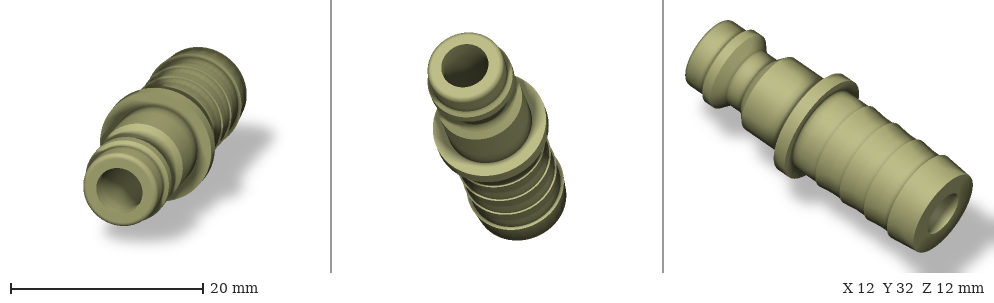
import cadquery as cq

length = 32.0
bore_diameter = 5.0

nose_radius = 4.03
nose_fillet = 0.5
nose_end = 2.6
plug_radius = 4.5
collar_chamfer_length = 0.4
collar_end = 4.05
groove_radius = 3.33
groove_slope = plug_radius - groove_radius
groove_floor_length = 1.92

flange_radius = 12.0 / 2
flange_start = 14.0
flange_thickness = 1.5

tail_radius = 4.8
barb_pitch = 3.3
barb_length = barb_pitch / 2
barb_radius = 5.0
barb_count = 3
end_barb_length = barb_pitch
end_barb_radius = 5.15


def cylinder(radius, start, end):
    """Solid cylinder along Y between two stations."""
    return cq.Workplane("XZ", origin=(0, start, 0)).circle(radius).extrude(start - end)


def barb(large_radius, start, barb_size):
    """Cone that is largest at its start and tapers to the tail towards the hose end."""
    return (
        cq.Workplane("XY")
        .moveTo(0, start)
        .lineTo(large_radius, start)
        .lineTo(tail_radius, start + barb_size)
        .lineTo(0, start + barb_size)
        .close()
        .revolve(360, (0, 0, 0), (0, 1, 0))
    )


def plug():
    """Nose, chamfered collar, locking groove and shank."""
    groove_floor_start = collar_end + groove_slope
    groove_floor_end = groove_floor_start + groove_floor_length
    profile = [
        (0, 0),
        (nose_radius, 0),
        (nose_radius, nose_end),
        (plug_radius, nose_end + collar_chamfer_length),
        (plug_radius, collar_end),
        (groove_radius, groove_floor_start),
        (groove_radius, groove_floor_end),
        (plug_radius, groove_floor_end + groove_slope),
        (plug_radius, flange_start),
        (0, flange_start),
    ]
    body = cq.Workplane("XY").polyline(profile).close().revolve(360, (0, 0, 0), (0, 1, 0))
    return body.faces("<Y").edges().fillet(nose_fillet)


def hose_tail():
    """Plain tail with a long end barb and evenly spaced small barbs."""
    tail = cylinder(tail_radius, flange_start, length)
    end_barb_start = length - end_barb_length
    tail = tail.union(barb(end_barb_radius, end_barb_start, end_barb_length))
    for index in range(1, barb_count + 1):
        barb_start = end_barb_start - index * barb_pitch
        tail = tail.union(barb(barb_radius, barb_start, barb_length))
    return tail


flange = cylinder(flange_radius, flange_start, flange_start + flange_thickness)
bore = cylinder(bore_diameter / 2, 0, length)

result = plug().union(flange).union(hose_tail()).cut(bore)